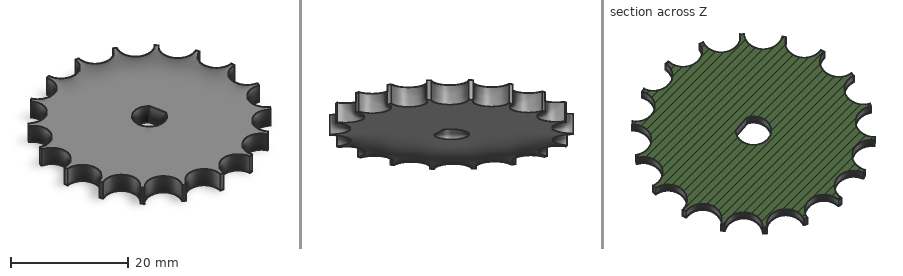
import cadquery as cq
import math

outer_radius = 20.75
thickness = 3.5
notch_count = 18
notch_radius = 3.25
bore_radius = 3.0
bore_flat_offset = 2.5

notch_pitch = 360 / notch_count


def make_disc():
    return cq.Workplane("XY").circle(outer_radius).extrude(thickness)


def make_notches():
    return (
        cq.Workplane("XY")
        .polarArray(outer_radius, notch_pitch / 2, 360, notch_count)
        .circle(notch_radius)
        .extrude(thickness)
    )


def make_bore():
    flat_half_width = math.sqrt(bore_radius**2 - bore_flat_offset**2)
    return (
        cq.Workplane("XY")
        .moveTo(-flat_half_width, bore_flat_offset)
        .threePointArc((0, -bore_radius), (flat_half_width, bore_flat_offset))
        .close()
        .extrude(thickness)
    )


result = make_disc().cut(make_notches()).cut(make_bore())